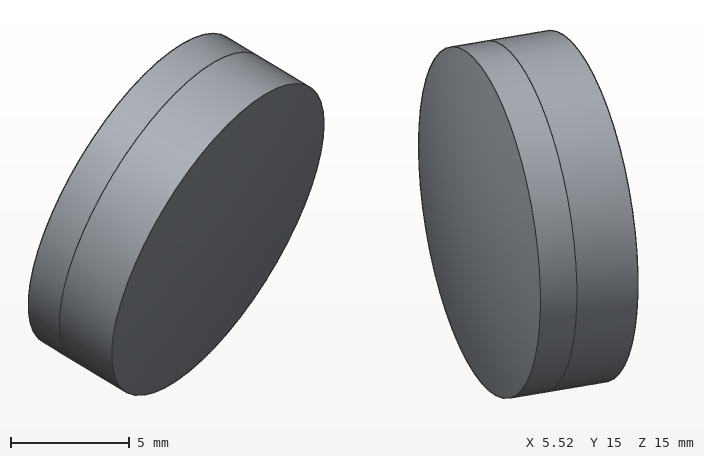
import cadquery as cq

LENS_DIAMETER = 15.0
TOTAL_THICKNESS = 5.52
FRONT_SAG = 0.76
BACK_SAG = 0.38
FRONT_EDGE = 1.64

LENS_RADIUS = LENS_DIAMETER / 2
BACK_EDGE = TOTAL_THICKNESS - FRONT_SAG - FRONT_EDGE - BACK_SAG


def dome_radius(sag):
    """Radius of the sphere whose cap has the lens diameter and this height."""
    return (LENS_RADIUS**2 + sag**2) / (2 * sag)


def make_lens(edge_width, sag, direction):
    """Plano-convex lens, flat at X = 0 and domed toward direction (+1 or -1)."""
    rim_x = direction * edge_width
    apex_x = direction * (edge_width + sag)
    sphere_radius = dome_radius(sag)
    center_x = apex_x - direction * sphere_radius

    arc_y = LENS_RADIUS / 2
    arc_x = center_x + direction * (sphere_radius**2 - arc_y**2) ** 0.5

    return (
        cq.Workplane("XY")
        .moveTo(0, 0)
        .lineTo(0, LENS_RADIUS)
        .lineTo(rim_x, LENS_RADIUS)
        .threePointArc((arc_x, arc_y), (apex_x, 0))
        .close()
        .revolve(360, (0, 0, 0), (1, 0, 0))
    )


front_lens = make_lens(FRONT_EDGE, FRONT_SAG, -1)
back_lens = make_lens(BACK_EDGE, BACK_SAG, 1)

result = cq.Compound.makeCompound([front_lens.val(), back_lens.val()])